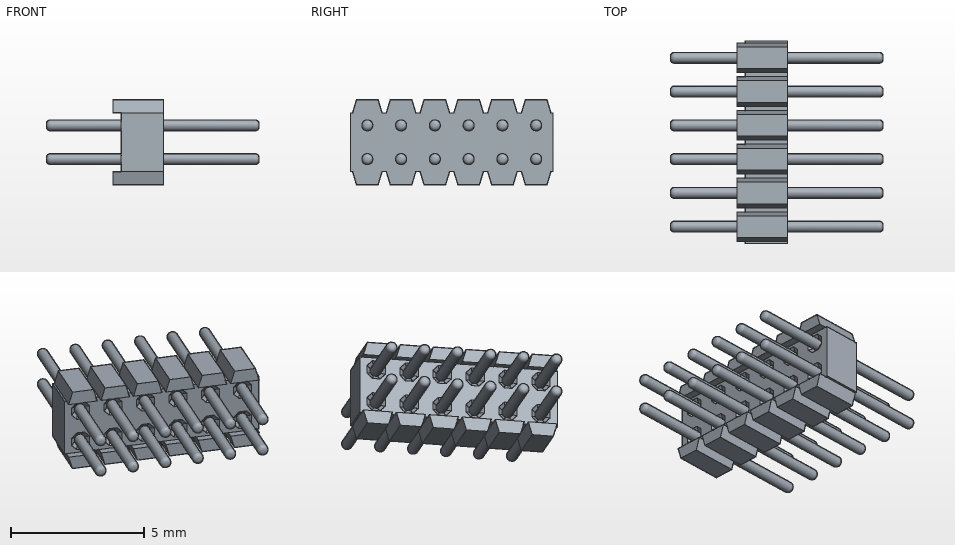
import cadquery as cq
import math

column_count = 6
row_count = 2
overall_length = 8.0
overall_width = 7.62
overall_height = 3.2
pitch = overall_width / column_count

body_front = 2.81
body_depth = 1.6
body_height = 2.2

rib_overhang = 0.3
rib_base_width = 1.12
rib_crest_width = 0.82
rib_height = (overall_height - body_height) / 2

pin_diameter = 0.42
tip_radius = 0.15

lead_in_width = 0.7
lead_in_floor_width = pin_diameter
lead_in_depth = 0.14

body_face_x = body_front - overall_length / 2
body_back_x = body_face_x + body_depth
column_positions = [(i - (column_count - 1) / 2) * pitch for i in range(column_count)]
row_positions = [(i - (row_count - 1) / 2) * pitch for i in range(row_count)]
pin_positions = [(y, z) for y in column_positions for z in row_positions]


def make_body():
    return cq.Workplane("XY").box(body_depth, overall_width, body_height).translate(
        (body_face_x + body_depth / 2, 0, 0)
    )


def make_rib(y, side):
    """Trapezoidal rib on the top (side = 1) or the bottom (side = -1) of the body."""
    base_z = side * body_height / 2
    crest_z = side * (body_height / 2 + rib_height)
    rib_start_x = body_face_x - rib_overhang
    return (
        cq.Workplane("YZ", origin=(rib_start_x, y, 0))
        .moveTo(-rib_base_width / 2, base_z)
        .lineTo(rib_base_width / 2, base_z)
        .lineTo(rib_crest_width / 2, crest_z)
        .lineTo(-rib_crest_width / 2, crest_z)
        .close()
        .extrude(body_back_x - rib_start_x)
    )


def octagon_points(across_flats):
    """Corners of a regular octagon with flats facing along Y and Z."""
    corner_radius = across_flats / 2 / math.cos(math.pi / 8)
    angles = [math.pi / 8 + i * math.pi / 4 for i in range(8)]
    return [(corner_radius * math.cos(a), corner_radius * math.sin(a)) for a in angles]


def make_lead_in(y, z):
    """Octagonal funnel that narrows from the body face down to the pin."""
    return (
        cq.Workplane("YZ", origin=(body_face_x, y, z))
        .polyline(octagon_points(lead_in_width))
        .close()
        .workplane(offset=lead_in_depth)
        .polyline(octagon_points(lead_in_floor_width))
        .close()
        .loft(ruled=True)
    )


def make_pin(y, z):
    """Round pin with rounded tips."""
    return (
        cq.Workplane("YZ", origin=(-overall_length / 2, y, z))
        .circle(pin_diameter / 2)
        .extrude(overall_length)
        .edges("%CIRCLE")
        .fillet(tip_radius)
    )


result = make_body()

for rib_y in column_positions:
    for rib_side in (1, -1):
        result = result.union(make_rib(rib_y, rib_side))

for pin_y, pin_z in pin_positions:
    result = result.cut(make_lead_in(pin_y, pin_z))
    result = result.union(make_pin(pin_y, pin_z))